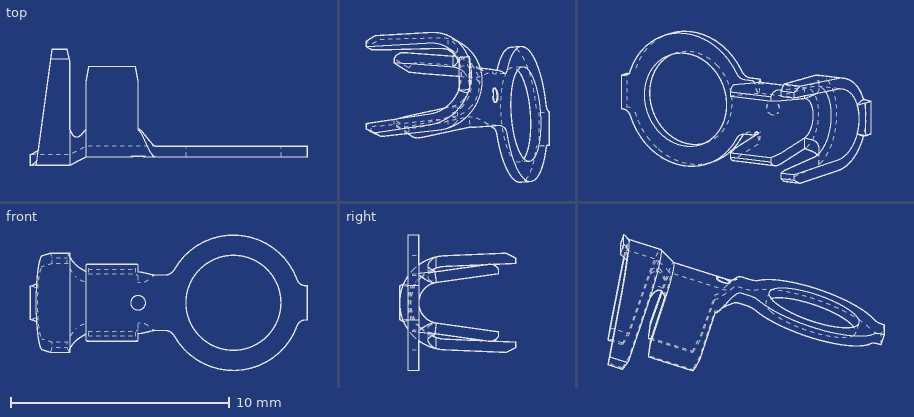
import math

import cadquery as cq

THICKNESS = 0.5

RING_RADIUS = 3.11
STUD_HOLE_RADIUS = 2.175
END_TAB_X = 3.39
END_TAB_HALF_WIDTH = 0.79
END_TAB_FILLET = 0.4
NECK_HALF_WIDTH = 1.275
NECK_FILLET = 0.5

NECK_X = -3.54
BARREL_X_MAX = -4.37
BARREL_X_MIN = -6.76
BAND_X_MAX = -7.5
BAND_X_MIN = -9.05
STRIP_X_MIN = -9.32

BARREL_RADIUS = 1.435
BARREL_BASE_Y = 0.0
BARREL_LEAN = math.radians(8)
BARREL_TOP_Y = 4.165
BARREL_ROUND_Y = 3.69
BARREL_TIP_OUTER_Z = 1.53
BARREL_TAPER_Y = 3.49
WING_TAPER = 0.125

BAND_RADIUS = 2.165
BAND_BASE_Y = -0.38
BAND_LEAN = math.radians(2.4)
BAND_TOP_Y = 4.95
BAND_CHAMFER_Y = 4.5
BAND_TIP_OUTER_Z = 2.056
BAND_TAPER_Y = 4.39
BAND_TOP_X_MIN = -8.32

NOTCH_RIM_Y = 1.28
NOTCH_FLOOR_X = -7.25
NOTCH_FLOOR_Y = 0.93
JOINT_TOP_Y = 1.4

STRIP_HALF_WIDTH = 0.77
STRIP_ROOT_HALF_WIDTH = 0.88
STRIP_ROOT_OFFSET = 0.02
STRIP_OVERLAP = 0.1

RECESS_RADIUS = 0.335
RECESS_DEPTH = 0.06

SHEET_SECTIONS = 7
CUT_SPAN = 10.0
SIDE_MARGIN = 0.5


def ring_plate():
    """Flat ring with the neck on one side and the short end tab on the other."""
    plane = cq.Workplane("XZ").workplane(offset=-THICKNESS)
    disc = plane.circle(RING_RADIUS).extrude(THICKNESS)
    neck = plane.center(NECK_X / 2, 0).rect(-NECK_X, 2 * NECK_HALF_WIDTH).extrude(THICKNESS)
    tab = plane.center(END_TAB_X / 2, 0).rect(END_TAB_X, 2 * END_TAB_HALF_WIDTH).extrude(THICKNESS)
    plate = disc.union(neck).union(tab)
    plate = fillet_ring_corners(plate, -1, NECK_HALF_WIDTH, NECK_FILLET)
    plate = fillet_ring_corners(plate, 1, END_TAB_HALF_WIDTH, END_TAB_FILLET)
    return plate.cut(plane.circle(STUD_HOLE_RADIUS).extrude(THICKNESS))


def fillet_ring_corners(plate, side, half_width, radius):
    """Round the two inner corners where a straight strip meets the ring."""
    corner_x = side * math.sqrt(RING_RADIUS**2 - half_width**2)
    reach = 0.1
    for z in (-half_width, half_width):
        box = cq.selectors.BoxSelector(
            (corner_x - reach, -reach, z - reach),
            (corner_x + reach, THICKNESS + reach, z + reach),
        )
        plate = plate.edges(box).edges("|Y").fillet(radius)
    return plate


def arc_point(radius, base_y, surface_radius, angle):
    """Point (Y, Z) of a U bend, with the angle measured from the middle of its base."""
    return (base_y + radius - surface_radius * math.cos(angle), surface_radius * math.sin(angle))


def lean_line_z(start, lean, y):
    """Z at height y on a wing line that leaves the bend at the start point."""
    return start[1] + (y - start[0]) * math.tan(lean)


def u_bend(radius, base_y, lean, top_y, shoulder_y, tip_outer_z, x_min, x_max, rounded_tip):
    """U-shaped strip along X with leaning wings whose outer tips are rounded or chamfered."""
    inner_radius = radius - THICKNESS
    end_angle = math.pi / 2 - lean
    outer_end = arc_point(radius, base_y, radius, end_angle)
    inner_end = arc_point(radius, base_y, inner_radius, end_angle)
    shoulder_z = lean_line_z(outer_end, lean, shoulder_y)
    inner_tip_z = lean_line_z(inner_end, lean, top_y)

    outline = (
        cq.Workplane("YZ", origin=(x_min, 0, 0))
        .moveTo(base_y, 0)
        .threePointArc(arc_point(radius, base_y, radius, end_angle / 2), outer_end)
        .lineTo(shoulder_y, shoulder_z)
    )
    if rounded_tip:
        outline = outline.tangentArcPoint((top_y, tip_outer_z), relative=False)
    else:
        outline = outline.lineTo(top_y, tip_outer_z)
    outline = (
        outline.lineTo(top_y, inner_tip_z)
        .lineTo(*inner_end)
        .threePointArc(arc_point(radius, base_y, inner_radius, end_angle / 2), (base_y + THICKNESS, 0))
        .mirrorX()
    )
    return outline.extrude(x_max - x_min)


def side_prism(points):
    """Prism through the whole part width from an outline in the XY plane."""
    return cq.Workplane("XY").polyline(points).close().extrude(CUT_SPAN / 2, both=True)


def band_side_prism():
    """Side outline of the insulation band, with its slanted free edge."""
    slant = (BAND_TOP_X_MIN - BAND_X_MIN) / (BAND_TOP_Y - BAND_BASE_Y)
    return side_prism([
        (BAND_X_MIN - slant * SIDE_MARGIN, BAND_BASE_Y - SIDE_MARGIN),
        (BAND_X_MAX, BAND_BASE_Y - SIDE_MARGIN),
        (BAND_X_MAX, BAND_TAPER_Y),
        (BAND_X_MAX - WING_TAPER, BAND_TOP_Y),
        (BAND_TOP_X_MIN, BAND_TOP_Y),
    ])


def wire_barrel():
    """Wire barrel with its wings narrowing toward their tips."""
    barrel = u_bend(
        BARREL_RADIUS, BARREL_BASE_Y, BARREL_LEAN, BARREL_TOP_Y, BARREL_ROUND_Y, BARREL_TIP_OUTER_Z,
        BARREL_X_MIN, BARREL_X_MAX, rounded_tip=True,
    )
    side_outline = [
        (BARREL_X_MIN, BARREL_BASE_Y - SIDE_MARGIN),
        (BARREL_X_MAX, BARREL_BASE_Y - SIDE_MARGIN),
        (BARREL_X_MAX, BARREL_TAPER_Y),
        (BARREL_X_MAX - WING_TAPER, BARREL_TOP_Y),
        (BARREL_X_MIN + WING_TAPER, BARREL_TOP_Y),
        (BARREL_X_MIN, BARREL_TAPER_Y),
    ]
    return barrel.intersect(side_prism(side_outline))


def insulation_band():
    """Insulation band with a slanted free edge."""
    band = u_bend(
        BAND_RADIUS, BAND_BASE_Y, BAND_LEAN, BAND_TOP_Y, BAND_CHAMFER_Y, BAND_TIP_OUTER_Z,
        STRIP_X_MIN, BAND_X_MAX, rounded_tip=False,
    )
    return band.intersect(band_side_prism())


def sheet_section(x, base_y, half_angle, half_width):
    """Cross-section of the sheet at x: a bend of given half angle and outer half width, or flat."""
    plane = cq.Workplane("YZ", origin=(x, 0, 0))
    inner_base_y = base_y + THICKNESS
    if half_angle == 0:
        section = plane.moveTo(base_y, -half_width).lineTo(base_y, half_width)
        section = section.lineTo(inner_base_y, half_width).lineTo(inner_base_y, -half_width)
        return section.close().val()
    radius = half_width / math.sin(half_angle)
    inner_radius = radius - THICKNESS
    section = plane.moveTo(*arc_point(radius, base_y, radius, -half_angle))
    section = section.threePointArc((base_y, 0), arc_point(radius, base_y, radius, half_angle))
    section = section.lineTo(*arc_point(radius, base_y, inner_radius, half_angle))
    section = section.threePointArc(
        (inner_base_y, 0), arc_point(radius, base_y, inner_radius, -half_angle)
    )
    return section.close().val()


def smooth_step(t):
    """Ease from 0 to 1 with level ends."""
    return t * t * (3 - 2 * t)


def blend_sheet(start, end):
    """Sheet passing smoothly between two sections given as (x, base_y, half_angle, half_width)."""
    sections = []
    for i in range(SHEET_SECTIONS):
        t = i / (SHEET_SECTIONS - 1)
        s = smooth_step(t)
        x = start[0] + t * (end[0] - start[0])
        shape = [a + s * (b - a) for a, b in zip(start[1:], end[1:])]
        sections.append(sheet_section(x, *shape))
    return cq.Workplane(cq.Solid.makeLoft(sections))


def barrel_to_neck():
    """Sheet that unrolls from the wire barrel into the flat neck."""
    half_angle = math.pi / 2 - BARREL_LEAN
    return blend_sheet(
        (BARREL_X_MAX, BARREL_BASE_Y, half_angle, BARREL_RADIUS * math.sin(half_angle)),
        (NECK_X, 0, 0, NECK_HALF_WIDTH),
    )


def strip_stub():
    """Flat stub that runs into the base of the insulation band."""
    half_angle = math.asin(STRIP_ROOT_HALF_WIDTH / BAND_RADIUS)
    stub = blend_sheet(
        (STRIP_X_MIN, BAND_BASE_Y, 0, STRIP_HALF_WIDTH),
        (BAND_X_MIN + STRIP_OVERLAP, BAND_BASE_Y + STRIP_ROOT_OFFSET, half_angle, STRIP_ROOT_HALF_WIDTH),
    )
    return stub.cut(band_side_prism())


def band_to_barrel():
    """Conical joint between band and barrel, cut down to a rounded notch between the wings."""
    ends = []
    for x, base_y, radius in (
        (BAND_X_MAX, BAND_BASE_Y, BAND_RADIUS),
        (BARREL_X_MIN, BARREL_BASE_Y, BARREL_RADIUS),
    ):
        half_angle = math.acos(1 - (JOINT_TOP_Y - base_y) / radius)
        ends.append(sheet_section(x, base_y, half_angle, radius * math.sin(half_angle)))
    joint = cq.Workplane(cq.Solid.makeLoft(ends, True))
    notch = (
        cq.Workplane("XY")
        .moveTo(BAND_X_MAX, NOTCH_RIM_Y)
        .spline([(NOTCH_FLOOR_X, NOTCH_FLOOR_Y), (BARREL_X_MIN, NOTCH_RIM_Y)], includeCurrent=True)
        .lineTo(BARREL_X_MIN, BAND_TOP_Y)
        .lineTo(BAND_X_MAX, BAND_TOP_Y)
        .close()
        .extrude(CUT_SPAN / 2, both=True)
    )
    return joint.cut(notch)


def round_recess():
    """Shallow round recess in the outer face at the end of the barrel."""
    plane = cq.Workplane("XZ", origin=(BARREL_X_MAX, RECESS_DEPTH, 0))
    return plane.circle(RECESS_RADIUS).extrude(THICKNESS)


result = (
    ring_plate()
    .union(barrel_to_neck())
    .union(wire_barrel())
    .union(band_to_barrel())
    .union(insulation_band())
    .union(strip_stub())
    .cut(round_recess())
)